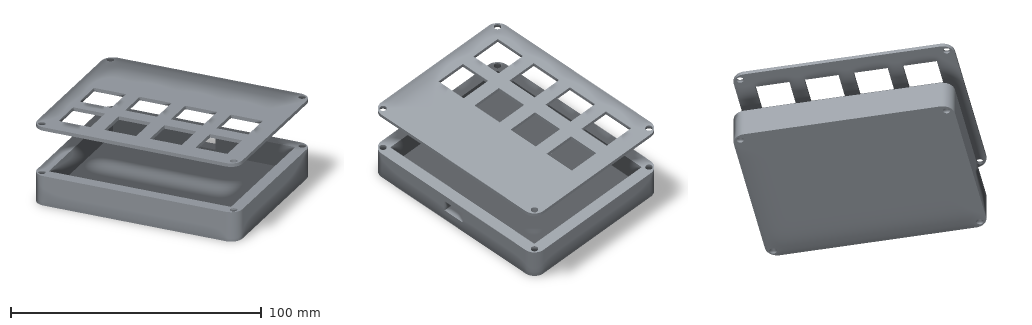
import cadquery as cq

length = 90.0
width = 71.55
corner_radius = 5.0

case_height = 13.0
wall = 5.0
floor = 3.0

lid_gap = 20.0
lid_thickness = 1.5
lid_bottom = case_height + lid_gap

screw_diameter = 3.0
screw_inset = 3.0

key_columns = 4
key_rows = 2
key_margin = 8.0
key_gap = 6.0
key_size = (length - 2 * key_margin - (key_columns - 1) * key_gap) / key_columns
key_pitch = key_size + key_gap

port_width = 10.0
port_height = 5.0
port_sill = 2.0


def plate(bottom, thickness):
    """Rounded plate with a screw hole through each corner."""
    body = (
        cq.Workplane("XY", origin=(0, 0, bottom))
        .rect(length, width)
        .extrude(thickness)
        .edges("|Z")
        .fillet(corner_radius)
    )
    screw_holes = (
        cq.Workplane("XY", origin=(0, 0, bottom))
        .rect(length - 2 * screw_inset, width - 2 * screw_inset, forConstruction=True)
        .vertices()
        .circle(screw_diameter / 2)
        .extrude(thickness)
    )
    return body.cut(screw_holes)


def make_case():
    """Tray with a square-cornered cavity and a cable port in the back wall."""
    cavity = (
        cq.Workplane("XY", origin=(0, 0, floor))
        .rect(length - 2 * wall, width - 2 * wall)
        .extrude(case_height - floor)
    )
    port_center = (0, width / 2 - wall / 2, floor + port_sill + port_height / 2)
    port = cq.Workplane("XY", origin=port_center).box(port_width, wall, port_height)
    return plate(0, case_height).cut(cavity).cut(port)


def make_lid():
    """Flat cover with a grid of square key openings along its front."""
    grid_center_y = -width / 2 + key_margin + (key_size + (key_rows - 1) * key_pitch) / 2
    key_openings = (
        cq.Workplane("XY", origin=(0, grid_center_y, lid_bottom))
        .rarray(key_pitch, key_pitch, key_columns, key_rows)
        .rect(key_size, key_size)
        .extrude(lid_thickness)
    )
    return plate(lid_bottom, lid_thickness).cut(key_openings)


case = make_case()
lid = make_lid()

result = cq.Compound.makeCompound([case.val(), lid.val()])